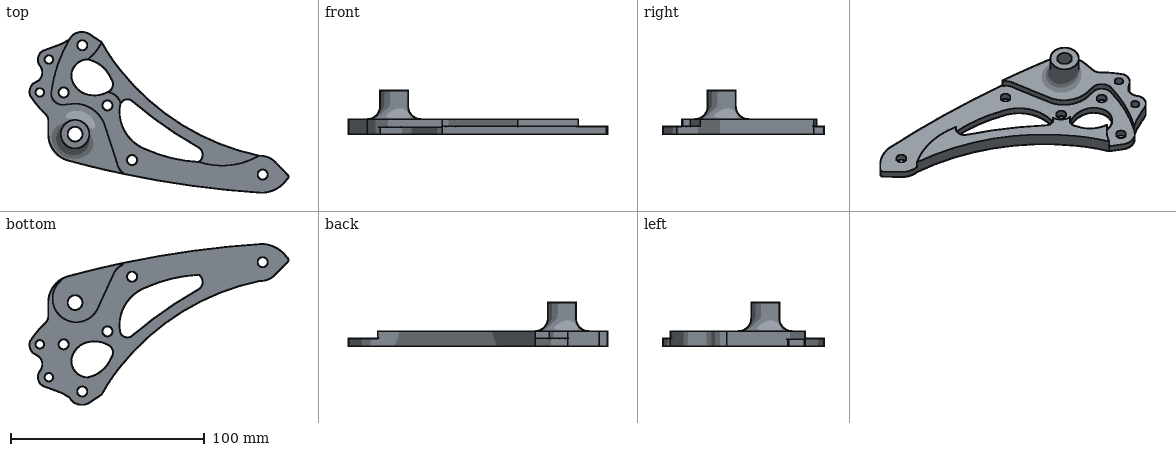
import cadquery as cq


shelf_height = 4.2
plate_height = 7.9
relief_depth = 3.7
total_height = 22.6

bore_radius = 3.7
hub_radius = 7.4
hub_flare = 6.4

mount_radius = 2.5
mount_centres = [(3.7, 45.9), (-5.9, 21.5), (16.7, 14.9), (29.5, -13.4), (96.9, -20.9)]
lug_radius = 2.1
lug_centres = [(-13.5, 38.5), (-18.2, 21.5)]

clear_left = -6.7
clear_right = 113.8
clear_bottom = -40.2
clear_top = 60.2

top_left = (-3.0, 49.0)
top_right = (13.8, 47.5)
tail_top = (95.2, -11.1)
heel = (24.9, -20.1)

mouth = (-7.1, -11.6)

upper_start = (6.5, 38.5)
upper_end = (16.6, 21.7)
lower_start = (23.5, 15.8)
lower_end = (63.9, -14.3)


def draw_path(start, *steps):
    """Closed outline: a step of one point is a line, a step of two is an arc (middle, end)."""
    path = cq.Workplane("XY").moveTo(*start)
    for step in steps:
        if len(step) == 1:
            path = path.lineTo(*step[0])
        else:
            path = path.threePointArc(*step)
    return path.close()


def make_plate():
    return draw_path(
        top_left,
        [(3.7, 52.9), (7.1, 52.0)],
        [top_right],
        [(18.2, 40.2), (23.5, 33.0)],
        [(55.7, 4.5), tail_top],
        [(100.1, -12.0), (103.4, -14.3)],
        [(109.9, -21.0)],
        [(110.3, -22.0), (109.6, -23.2)],
        [(103.9, -28.4), (96.8, -30.4)],
        [(47.4, -24.8), (-2.7, -13.9)],
        [(-11.1, -8.5), (-13.9, 0.0)],
        [(-13.9, 7.2)],
        [(-14.5, 9.2), (-15.4, 10.5)],
        [(-20.8, 16.3), (-23.3, 20.0)],
        [(-23.2, 24.0), (-21.7, 26.1)],
        [(-18.7, 27.8)],
        [(-17.0, 31.9), (-18.3, 35.5)],
        [(-18.9, 40.4), (-16.3, 43.2)],
        [(-6.8, 46.7)],
    ).extrude(plate_height)


def make_shelf_cutter():
    """Everything above the thin parts of the plate, closed outside the plate edge."""
    return draw_path(
        top_left,
        [(-9.1, 35.5), (-12.3, 21.5)],
        [(-10.7, 17.0), (-6.4, 15.1)],
        [(0.0, 15.8)],
        [(9.6, 12.5), (15.0, 5.6)],
        [(21.7, -14.9)],
        [(22.9, -18.0), heel],
        [(heel[0], clear_bottom)],
        [(clear_right, clear_bottom)],
        [(clear_right, 0)],
        [tail_top],
        [(81.1, -15.9), lower_end],
        [lower_start],
        [(21.2, 19.8), upper_end],
        [upper_start],
        [(10.8, 42.8), top_right],
        [(top_right[0], clear_top)],
        [(clear_left, clear_top)],
    ).extrude(plate_height).translate((0, 0, shelf_height))


def make_upper_opening():
    return draw_path(
        upper_start,
        [(13.5, 35.3), (18.6, 28.5)],
        [(19.5, 25.7), upper_end],
        [(10.5, 20.1), (3.9, 21.4)],
        [(-0.3, 25.3), (-1.7, 28.9)],
        [(0.3, 35.7), upper_start],
    ).extrude(plate_height)


def make_lower_opening():
    return draw_path(
        lower_start,
        [(26.9, 18.0), (29.7, 16.9)],
        [(45.8, 4.4), (63.9, -7.0)],
        [(65.9, -10.5), lower_end],
        [(50.0, -12.3), (36.8, -7.9)],
        [(27.3, -1.0), (23.0, 11.4)],
        [(23.2, 13.8), lower_start],
    ).extrude(plate_height)


def make_relief():
    """Pocket under the hub, open through the lower edge of the plate."""
    return draw_path(
        mouth,
        [(1.9, 10.0), (12.0, 2.3)],
        [(20.3, -15.8)],
        [(22.4, -18.2), heel],
        [(heel[0], clear_bottom)],
        [(mouth[0], clear_bottom)],
    ).extrude(relief_depth)


def make_hub():
    flare_radius = hub_radius + hub_flare
    flare_top = plate_height + hub_flare
    bend = hub_flare * (1 - 0.5 ** 0.5)
    return (
        cq.Workplane("XZ")
        .moveTo(0, relief_depth)
        .lineTo(flare_radius, relief_depth)
        .lineTo(flare_radius, plate_height)
        .threePointArc((hub_radius + bend, plate_height + bend), (hub_radius, flare_top))
        .lineTo(hub_radius, total_height)
        .lineTo(0, total_height)
        .close()
        .revolve(360, (0, 0, 0), (0, 1, 0))
    )


def make_holes(centres, radius):
    return cq.Workplane("XY").pushPoints(centres).circle(radius).extrude(total_height)


plate = make_plate().cut(make_shelf_cutter())
plate = plate.cut(make_upper_opening()).cut(make_lower_opening())
plate = plate.cut(make_relief())

result = (
    plate.union(make_hub())
    .cut(make_holes([(0, 0)], bore_radius))
    .cut(make_holes(mount_centres, mount_radius))
    .cut(make_holes(lug_centres, lug_radius))
)